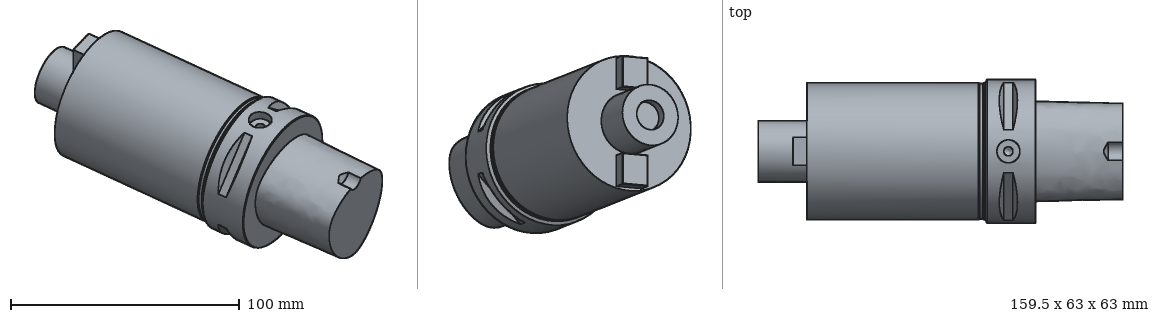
import cadquery as cq
import math

LENGTH = 159.5
KEY_START = 15.2
BODY_START = 21.4
GROOVE_START = 96.3
GROOVE_END = 98.7
BEVEL_START = 99.2
GROOVE_FLANK = 0.5
FLANGE_START = 100.2
FLANGE_END = 121.4
GRIP_CENTRE = 109.4

PILOT_DIA = 27.0
BODY_DIA = 60.0
GROOVE_DIA = 59.3
FLANGE_DIA = 63.0
FLANGE_CHAMFER = 0.3

BORE_DIA = 13.0
BORE_DEPTH = 5.0

KEY_WIDTH = 12.3
KEY_INNER = 14.7
KEY_OUTER = 28.5
KEY_CHAMFER = 0.3

SHANK_LARGE = (21.93, 1.5)
SHANK_SMALL = (21.0, 1.5)
LOBES = 3
POINTS_PER_LOBE = 12

SLOT_COUNT = 4
SLOT_FLOOR_RADIUS = 27.9
SLOT_FLOOR_WIDTH = 4.0
SLOT_RIM_WIDTH = 8.0

POCKET_DIA = 10.0
POCKET_DEPTH = 4.5
PIN_HOLE_DIA = 4.0
PIN_HOLE_DEPTH = 4.0
DRILL_HALF_ANGLE = math.radians(59)

NOTCH_DIA = 8.3
NOTCH_LENGTH = 6.5
NOTCH_AXIS_HEIGHT = 20.7


def drilled_hole(diameter, depth):
    """Solid of a drilled hole along +Z with a conical tip beyond its depth."""
    radius = diameter / 2
    tip = depth + radius / math.tan(DRILL_HALF_ANGLE)
    outline = [(0, 0), (radius, 0), (radius, depth), (0, tip)]
    return cq.Workplane("XZ").polyline(outline).close().revolve(360, (0, 0), (0, 1))


def turned_body():
    outline = [
        (0, 0),
        (0, PILOT_DIA / 2),
        (BODY_START, PILOT_DIA / 2),
        (BODY_START, BODY_DIA / 2),
        (GROOVE_START, BODY_DIA / 2),
        (GROOVE_START + GROOVE_FLANK, GROOVE_DIA / 2),
        (GROOVE_END - GROOVE_FLANK, GROOVE_DIA / 2),
        (GROOVE_END, BODY_DIA / 2),
        (BEVEL_START, BODY_DIA / 2),
        (FLANGE_START, FLANGE_DIA / 2),
        (FLANGE_END - FLANGE_CHAMFER, FLANGE_DIA / 2),
        (FLANGE_END, FLANGE_DIA / 2 - FLANGE_CHAMFER),
        (FLANGE_END, 0),
    ]
    return cq.Workplane("XY").polyline(outline).close().revolve(360, (0, 0), (1, 0))


def lobed_points(mean_radius, lobe_height):
    """Smooth three-lobed outline in YZ with one lobe pointing to -Z."""
    count = LOBES * POINTS_PER_LOBE
    points = []
    for i in range(count):
        angle = 2 * math.pi * i / count
        reach = mean_radius + lobe_height * math.cos(LOBES * angle)
        slope = -LOBES * lobe_height * math.sin(LOBES * angle)
        down = reach * math.cos(angle) - slope * math.sin(angle)
        across = reach * math.sin(angle) + slope * math.cos(angle)
        points.append((across, -down))
    return points


def shank():
    return (
        cq.Workplane("YZ", origin=(FLANGE_END, 0, 0))
        .spline(lobed_points(*SHANK_LARGE), periodic=True).close()
        .workplane(offset=LENGTH - FLANGE_END)
        .spline(lobed_points(*SHANK_SMALL), periodic=True).close()
        .loft(ruled=True)
    )


def drive_key():
    key_length = BODY_START - KEY_START
    return (
        cq.Workplane("XY")
        .box(key_length, KEY_WIDTH, KEY_OUTER - KEY_INNER, centered=(False, True, False))
        .faces("<X").edges().chamfer(KEY_CHAMFER)
        .translate((KEY_START, 0, KEY_INNER))
    )


def gripper_slot():
    """Flat-floored slot with flared sides, tangential at the +Z side."""
    rim = FLANGE_DIA / 2
    half_floor = SLOT_FLOOR_WIDTH / 2
    half_rim = SLOT_RIM_WIDTH / 2
    outline = [
        (GRIP_CENTRE - half_floor, SLOT_FLOOR_RADIUS),
        (GRIP_CENTRE + half_floor, SLOT_FLOOR_RADIUS),
        (GRIP_CENTRE + half_rim, rim),
        (GRIP_CENTRE - half_rim, rim),
    ]
    return cq.Workplane("XZ").polyline(outline).close().extrude(FLANGE_DIA / 2, both=True)


def flange_pocket():
    rim = FLANGE_DIA / 2
    floor = rim - POCKET_DEPTH
    pocket = cq.Workplane("XY").circle(POCKET_DIA / 2).extrude(POCKET_DEPTH).translate((0, 0, floor))
    pin_hole = drilled_hole(PIN_HOLE_DIA, PIN_HOLE_DEPTH).rotate((0, 0, 0), (1, 0, 0), 180)
    return pocket.union(pin_hole.translate((0, 0, floor))).translate((GRIP_CENTRE, 0, 0))


def shank_notch():
    notch = drilled_hole(NOTCH_DIA, NOTCH_LENGTH).rotate((0, 0, 0), (0, 1, 0), -90)
    return notch.translate((LENGTH, 0, NOTCH_AXIS_HEIGHT))


result = turned_body().union(shank())

for key_angle in (0, 180):
    result = result.union(drive_key().rotate((0, 0, 0), (1, 0, 0), key_angle))

for i in range(SLOT_COUNT):
    slot_angle = (i + 0.5) * 360 / SLOT_COUNT
    result = result.cut(gripper_slot().rotate((0, 0, 0), (1, 0, 0), slot_angle))

pilot_bore = cq.Workplane("YZ").circle(BORE_DIA / 2).extrude(BORE_DEPTH)
result = result.cut(pilot_bore).cut(flange_pocket()).cut(shank_notch())